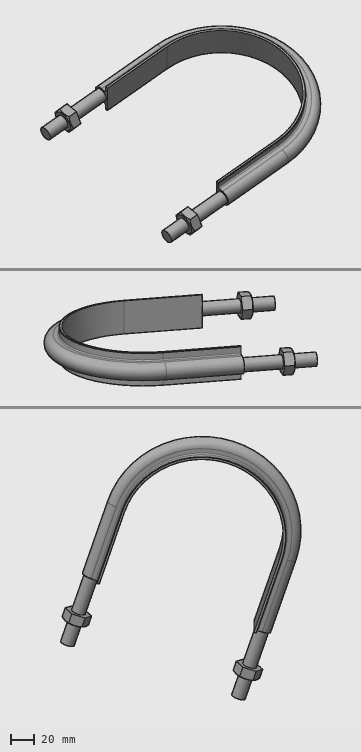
import cadquery as cq
import math

rod_diameter = 12.5
leg_offset = 77.1
overall_length = 218.5

sleeve_radius = 7.9
strip_inner_offset = 69.7
strip_thickness = 2.5
strip_height = 30.0
strip_bevel = 0.5
liner_end = 64.7
root_fillet = 1.0

nut_across_flats = 20.8
nut_thickness = 9.8
nut_start = 20.3
nut_face_diameter = 19.0
nut_chamfer_angle = 30.0

bend_centre = overall_length - leg_offset - sleeve_radius


def u_path(start):
    """Centre line of the U, from one leg at Y = start round the bend to the other."""
    return (
        cq.Workplane("XY")
        .moveTo(-leg_offset, start)
        .lineTo(-leg_offset, bend_centre)
        .threePointArc((0, bend_centre + leg_offset), (leg_offset, bend_centre))
        .lineTo(leg_offset, start)
    )


def left_leg_section(start):
    """Cross-section plane centred on the left leg's axis; +X points into the U."""
    return cq.Workplane("XZ", origin=(-leg_offset, start, 0))


def make_rod():
    return left_leg_section(0).circle(rod_diameter / 2).sweep(u_path(0))


def make_liner(rod):
    """Strip and sleeve in one piece, with the rod's channel cut through it."""
    strip_inner = leg_offset - strip_inner_offset
    strip_outer = strip_inner - strip_thickness
    half_height = strip_height / 2
    bevel_x = strip_outer + strip_bevel
    bevel_z = half_height - strip_bevel
    root_x = strip_outer - root_fillet
    root_z = sleeve_radius + root_fillet
    mid_offset = root_fillet * math.sqrt(0.5)
    mid_x = root_x + mid_offset
    mid_z = root_z - mid_offset

    section = (
        left_leg_section(liner_end)
        .moveTo(strip_inner, -half_height)
        .lineTo(strip_inner, half_height)
        .lineTo(bevel_x, half_height)
        .lineTo(strip_outer, bevel_z)
        .lineTo(strip_outer, root_z)
        .threePointArc((mid_x, mid_z), (root_x, sleeve_radius))
        .lineTo(0, sleeve_radius)
        .threePointArc((-sleeve_radius, 0), (0, -sleeve_radius))
        .lineTo(root_x, -sleeve_radius)
        .threePointArc((mid_x, -mid_z), (strip_outer, -root_z))
        .lineTo(strip_outer, -bevel_z)
        .lineTo(bevel_x, -half_height)
        .close()
    )
    return section.sweep(u_path(liner_end)).cut(rod)


def make_nut(side):
    """Hexagon nut with corners pointing along X and a turned chamfer on the face nearer the leg tip."""
    across_corners = nut_across_flats / math.cos(math.radians(30))
    axis_x = side * leg_offset
    blank = (
        cq.Workplane("XZ", origin=(axis_x, nut_start, 0))
        .polygon(6, across_corners)
        .circle(rod_diameter / 2)
        .extrude(-nut_thickness)
    )
    face_radius = nut_face_diameter / 2
    corner_radius = across_corners / 2
    chamfer_depth = (corner_radius - face_radius) * math.tan(math.radians(nut_chamfer_angle))
    envelope = (
        cq.Workplane("XY", origin=(axis_x, nut_start, 0))
        .lineTo(face_radius, 0)
        .lineTo(corner_radius, chamfer_depth)
        .lineTo(corner_radius, nut_thickness)
        .lineTo(0, nut_thickness)
        .close()
        .revolve(360, (0, 0), (0, 1))
    )
    return blank.intersect(envelope)


u_rod = make_rod()
liner = make_liner(u_rod)
nuts = [make_nut(side) for side in (-1, 1)]

result = cq.Compound.makeCompound([u_rod.val(), *liner.solids().vals(), *[nut.val() for nut in nuts]])